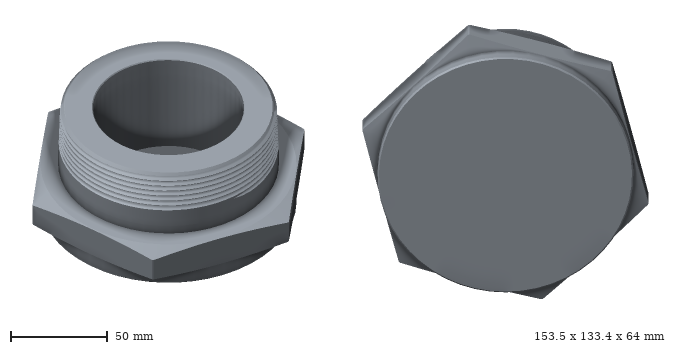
import cadquery as cq
import math


total_height = 64.01
flange_height = 8.89
hex_top_z = 26.1
taper_start_z = 30.99

flange_radius = 66.2
flange_chamfer = 0.76

across_flats = 133.35
across_corners = 153.47
hex_height = hex_top_z - flange_height
corner_drop = 2.2

neck_radius = 57.15
radius_taper = 1 / 32
taper_angle = math.degrees(math.atan(radius_taper))
neck_chamfer = 2.2

pitch = 25.4 / 8
groove_depth = 0.8 * pitch
groove_half_angle = math.radians(30)
groove_start_z = 40.0
groove_overrun = pitch
run_in_length = 25.0
groove_clearance = 0.15

blank_top_z = total_height + groove_overrun + 2 * pitch
envelope_margin = 1.0

bore_radius = 39.1
bore_chamfer = 0.5
window_thickness = 6.35


def taper_radius(z):
    """Outer radius of the tapered neck at height z."""
    return neck_radius - radius_taper * (z - taper_start_z)


def make_hexagon():
    """Hexagon with two corners on the X axis, cut to the double-coned corner outline."""
    prism = (
        cq.Workplane("XY")
        .workplane(offset=flange_height)
        .polygon(6, across_flats / math.cos(math.pi / 6))
        .extrude(hex_height)
    )
    corner_radius = across_corners / 2
    corner_outline = (
        cq.Workplane("XZ")
        .moveTo(0, flange_height)
        .lineTo(flange_radius, flange_height)
        .lineTo(corner_radius, flange_height + corner_drop)
        .lineTo(corner_radius, hex_top_z - corner_drop)
        .lineTo(flange_radius, hex_top_z)
        .lineTo(0, hex_top_z)
        .close()
        .revolve(360, (0, 0), (0, 1))
    )
    return prism.intersect(corner_outline)


def make_flange():
    """Round base flange with a chamfered lower edge."""
    disc = cq.Workplane("XY").circle(flange_radius).extrude(flange_height)
    return disc.faces("<Z").chamfer(flange_chamfer)


def make_neck_blank():
    """Short cylinder and a slow taper, left long enough to hold the whole helical groove.

    Turned half round so that its seam lies at -X, away from the start of the thread.
    """
    return (
        cq.Workplane("XZ")
        .moveTo(0, hex_top_z)
        .lineTo(neck_radius, hex_top_z)
        .lineTo(neck_radius, taper_start_z)
        .lineTo(taper_radius(blank_top_z), blank_top_z)
        .lineTo(0, blank_top_z)
        .close()
        .revolve(360, (0, 0), (0, 1))
        .rotate((0, 0, 0), (0, 0, 1), 180)
    )


def make_groove_profile():
    """V section of the thread groove, in the XZ plane where the groove starts."""
    start_radius = taper_radius(groove_start_z)
    mouth_radius = start_radius + groove_clearance
    mouth_half_width = (groove_depth + groove_clearance) * math.tan(groove_half_angle)
    return (
        cq.Workplane("XZ")
        .moveTo(start_radius - groove_depth, groove_start_z)
        .lineTo(mouth_radius, groove_start_z - mouth_half_width)
        .lineTo(mouth_radius, groove_start_z + mouth_half_width)
        .close()
    )


def make_thread_groove():
    """Right-handed V-groove swept along a helix that follows the taper."""
    helix = cq.Wire.makeHelix(
        pitch,
        total_height + groove_overrun - groove_start_z,
        taper_radius(groove_start_z),
        cq.Vector(0, 0, groove_start_z),
        cq.Vector(0, 0, 1),
        -taper_angle,
    )
    return make_groove_profile().sweep(cq.Workplane(obj=helix), isFrenet=True)


def make_groove_run_in():
    """Straight V-cut along the tangent at the thread start, leaving the neck toward -Y."""
    return make_groove_profile().extrude(run_in_length)


def make_neck_envelope():
    """Cylinder with a 45 degree lead-in chamfer that trims the threaded blank to length."""
    top_radius = taper_radius(total_height) - neck_chamfer
    outer_radius = neck_radius + envelope_margin
    return (
        cq.Workplane("XZ")
        .moveTo(0, hex_top_z)
        .lineTo(outer_radius, hex_top_z)
        .lineTo(outer_radius, total_height - (outer_radius - top_radius))
        .lineTo(top_radius, total_height)
        .lineTo(0, total_height)
        .close()
        .revolve(360, (0, 0), (0, 1))
    )


def make_bore():
    """Through bore, opened by a small chamfer at the top."""
    return (
        cq.Workplane("XZ")
        .lineTo(bore_radius, 0)
        .lineTo(bore_radius, total_height - bore_chamfer)
        .lineTo(bore_radius + bore_chamfer, total_height)
        .lineTo(0, total_height)
        .close()
        .revolve(360, (0, 0), (0, 1))
    )


def make_fitting():
    """Flange, hexagon and threaded neck in one piece, bored through."""
    threaded_blank = make_neck_blank().cut(make_thread_groove()).cut(make_groove_run_in())
    threaded_neck = threaded_blank.intersect(make_neck_envelope())
    return make_flange().union(make_hexagon()).union(threaded_neck).cut(make_bore())


def make_window():
    """Disc filling the lower end of the bore, flush with the flange face."""
    return cq.Workplane("XY").circle(bore_radius).extrude(window_thickness)


fitting = make_fitting()
window = make_window()

result = cq.Compound.makeCompound([fitting.solids().val(), window.val()])